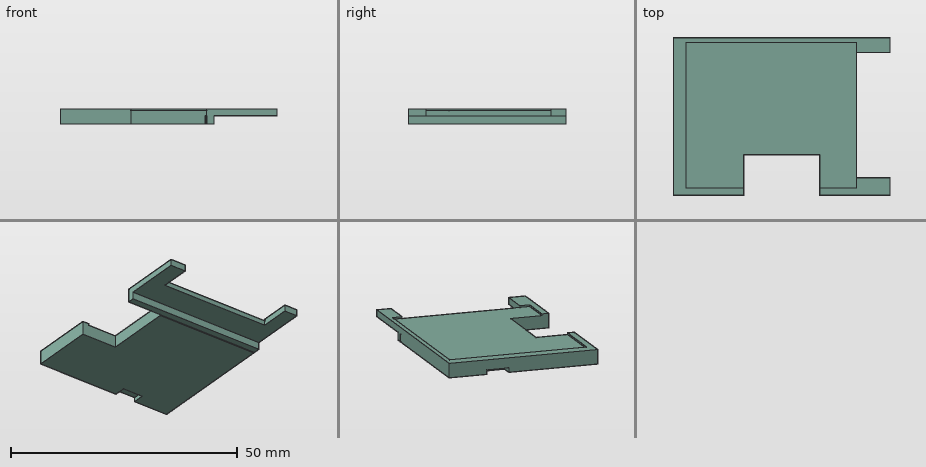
import cadquery as cq

LENGTH = 47.8
WIDTH = 34.8
HEIGHT = 3.35

PLATE_LENGTH = 40.4
ARM_THICKNESS = 1.6
FRONT_ARM_WIDTH = 3.9
BACK_ARM_WIDTH = 3.35

LEFT_RIM = 2.8
FRONT_RIM = 1.63
BACK_RIM = 1.1
POCKET_DEPTH = 0.4

NOTCH_LEFT = 15.55
NOTCH_LENGTH = 16.75
NOTCH_DEPTH = 8.95
NOTCH_RIGHT = NOTCH_LEFT + NOTCH_LENGTH

RIB_THICKNESS = 1.63
SLOT_WIDTH = 0.3

CHANNEL_WIDTH = 5.1
CHANNEL_HEIGHT = 1.05
CHANNEL_BACK_OFFSET = 8.85


def block(x_range, y_range, z_range):
    """Axis-aligned box between the given (low, high) limits."""
    sizes = [high - low for low, high in (x_range, y_range, z_range)]
    corner = (x_range[0], y_range[0], z_range[0])
    return cq.Workplane("XY").box(*sizes, centered=False).translate(corner)


full_width = (0, WIDTH)
full_height = (0, HEIGHT)
lip_bottom = HEIGHT - ARM_THICKNESS
lip_height = (lip_bottom, HEIGHT)

full_plate = block((0, NOTCH_RIGHT - SLOT_WIDTH), full_width, full_height)
lip = block((0, PLATE_LENGTH), full_width, lip_height)
body = full_plate.union(lip)

for arm_y in ((0, FRONT_ARM_WIDTH), (WIDTH - BACK_ARM_WIDTH, WIDTH)):
    body = body.union(block((0, LENGTH), arm_y, lip_height))

body = body.union(block((NOTCH_RIGHT, NOTCH_RIGHT + RIB_THICKNESS), full_width, full_height))

body = body.cut(block((NOTCH_LEFT, NOTCH_RIGHT), (0, NOTCH_DEPTH), full_height))

body = body.cut(
    block(
        (LEFT_RIM, PLATE_LENGTH),
        (FRONT_RIM, WIDTH - BACK_RIM),
        (HEIGHT - POCKET_DEPTH, HEIGHT),
    )
)

channel_back = WIDTH - CHANNEL_BACK_OFFSET
result = body.cut(
    block(
        (0, LEFT_RIM),
        (channel_back - CHANNEL_WIDTH, channel_back),
        (0, CHANNEL_HEIGHT),
    )
)